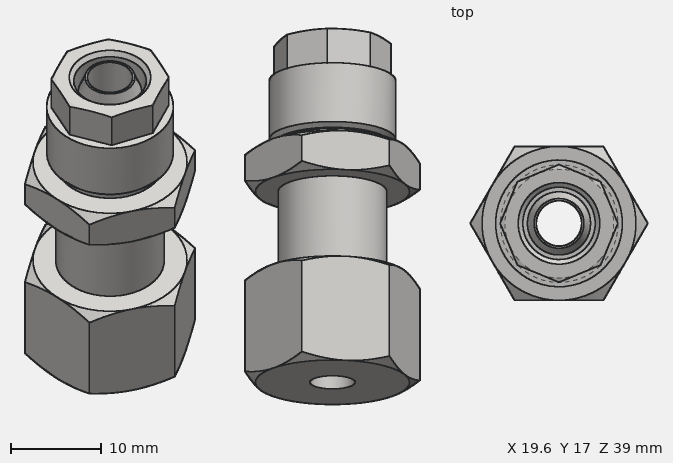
import cadquery as cq
import math

TOTAL_HEIGHT = 39.0

HEX_FLATS = 17.0
HEX_CHAMFER_ANGLE = 30.0
BODY_HEX_HEIGHT = 12.0
LOCK_NUT_BOTTOM = 22.0
LOCK_NUT_HEIGHT = 4.5

SHANK_DIAMETER = 12.0
BORE_DIAMETER = 5.0
SPIGOT_DIAMETER = 7.0
SPIGOT_TIP_DIAMETER = 5.5
CONE_HEIGHT = 2.0

CAP_BOTTOM = 27.45
CAP_COLLAR_DIAMETER = 14.0
CAP_COLLAR_CHAMFER = 0.5
CAP_COLLAR_TOP = 34.75
CAP_ROOF = 1.75
CAP_MOUTH_DIAMETER = 8.0
CAP_MOUTH_CHAMFER = 0.5
OCTAGON_FLATS = 12.0
OCTAGON_CHAMFER_ANGLE = 15.0
SHANK_TOP = CAP_COLLAR_TOP - CAP_ROOF


def cylinder(diameter, bottom, top):
    """Upright cylinder on the common axis."""
    return cq.Workplane("XY", origin=(0, 0, bottom)).circle(diameter / 2).extrude(top - bottom)


def polygon_blank(sides, flats, angle, bottom, top, chamfer_bottom):
    """Regular prism with a corner on +X, its corners turned down conically at the chosen ends."""
    flat_radius = flats / 2
    corner_radius = flat_radius / math.cos(math.pi / sides)
    prism = (
        cq.Workplane("XY", origin=(0, 0, bottom))
        .polygon(sides, 2 * corner_radius)
        .extrude(top - bottom)
    )
    drop = (corner_radius - flat_radius) * math.tan(math.radians(angle))
    profile = cq.Workplane("XZ").moveTo(0, bottom)
    if chamfer_bottom:
        profile = profile.lineTo(flat_radius, bottom).lineTo(corner_radius, bottom + drop)
    else:
        profile = profile.lineTo(corner_radius, bottom)
    envelope = (
        profile.lineTo(corner_radius, top - drop)
        .lineTo(flat_radius, top)
        .lineTo(0, top)
        .close()
        .revolve(360, (0, 0), (0, 1))
    )
    return prism.intersect(envelope)


def make_fitting_body():
    """Hexagon base, round shank and conical spigot with a bore right through."""
    base = polygon_blank(6, HEX_FLATS, HEX_CHAMFER_ANGLE, 0, BODY_HEX_HEIGHT, True)
    shank = cylinder(SHANK_DIAMETER, BODY_HEX_HEIGHT, SHANK_TOP)
    spigot = (
        cq.Workplane("XZ")
        .moveTo(0, SHANK_TOP)
        .lineTo(SPIGOT_DIAMETER / 2, SHANK_TOP)
        .lineTo(SPIGOT_DIAMETER / 2, TOTAL_HEIGHT - CONE_HEIGHT)
        .lineTo(SPIGOT_TIP_DIAMETER / 2, TOTAL_HEIGHT)
        .lineTo(0, TOTAL_HEIGHT)
        .close()
        .revolve(360, (0, 0), (0, 1))
    )
    bore = cylinder(BORE_DIAMETER, 0, TOTAL_HEIGHT)
    return base.union(shank).union(spigot).cut(bore)


def make_lock_nut():
    """Hexagon nut around the shank."""
    top = LOCK_NUT_BOTTOM + LOCK_NUT_HEIGHT
    blank = polygon_blank(6, HEX_FLATS, HEX_CHAMFER_ANGLE, LOCK_NUT_BOTTOM, top, True)
    return blank.cut(cylinder(SHANK_DIAMETER, LOCK_NUT_BOTTOM, top))


def make_cap_nut():
    """Round collar with an octagonal head, seated over the end of the shank."""
    collar = cylinder(CAP_COLLAR_DIAMETER, CAP_BOTTOM, CAP_COLLAR_TOP)
    collar = collar.faces("<Z").edges().chamfer(CAP_COLLAR_CHAMFER)
    head = polygon_blank(8, OCTAGON_FLATS, OCTAGON_CHAMFER_ANGLE, CAP_COLLAR_TOP, TOTAL_HEIGHT, False)
    shank_socket = cylinder(SHANK_DIAMETER, CAP_BOTTOM, SHANK_TOP)
    mouth = cylinder(CAP_MOUTH_DIAMETER, SHANK_TOP, TOTAL_HEIGHT)
    mouth_radius = CAP_MOUTH_DIAMETER / 2
    mouth_chamfer = (
        cq.Workplane("XZ")
        .moveTo(0, TOTAL_HEIGHT - CAP_MOUTH_CHAMFER)
        .lineTo(mouth_radius, TOTAL_HEIGHT - CAP_MOUTH_CHAMFER)
        .lineTo(mouth_radius + CAP_MOUTH_CHAMFER, TOTAL_HEIGHT)
        .lineTo(0, TOTAL_HEIGHT)
        .close()
        .revolve(360, (0, 0), (0, 1))
    )
    return collar.union(head).cut(shank_socket).cut(mouth).cut(mouth_chamfer)


fitting_body = make_fitting_body()
lock_nut = make_lock_nut()
cap_nut = make_cap_nut()

result = cq.Compound.makeCompound([fitting_body.val(), lock_nut.val(), cap_nut.val()])